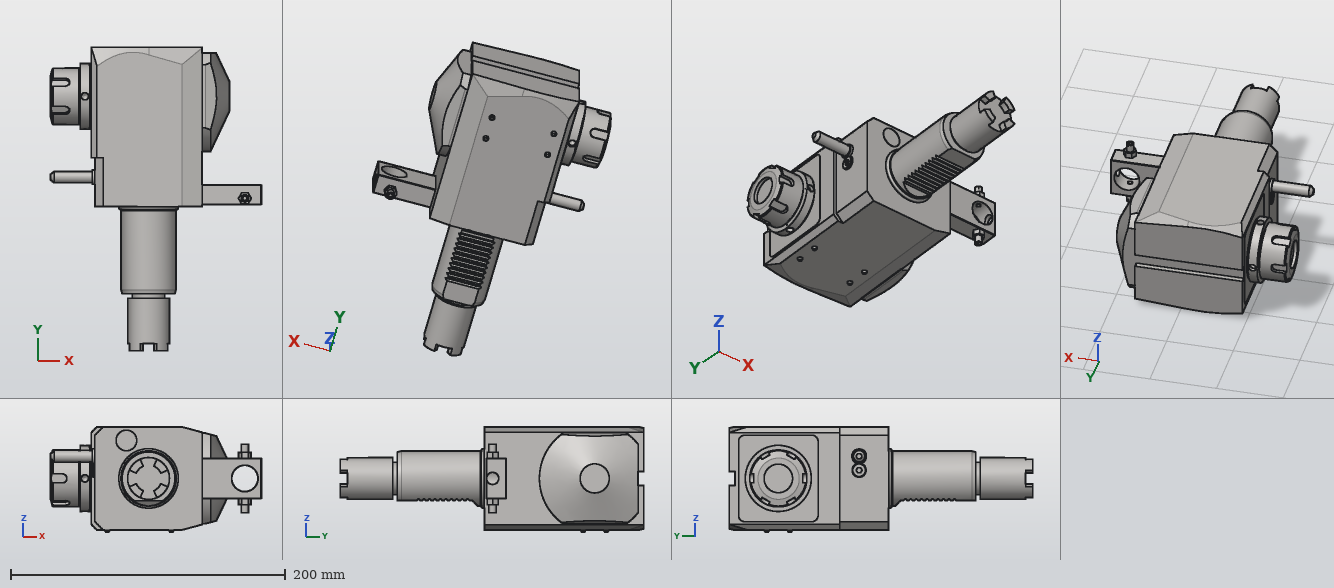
import cadquery as cq
import math


HALF_HEIGHT = 37.5
BACK_Y = 116.0
LEFT_X = -41.7
RIGHT_X = 38.9
STEP_Y = 35.3
STEP_X = -39.0
LEFT_BEVEL = 4.2
STEP_BEVEL = 6.2
SLOPE_START_X = 24.3
SLOPE_ANGLE = 15.0
CROWN_ANGLE = 13.5
CROWN_ARC_LEFT = (-41.7, 33.3)
CROWN_ARC_MID = (-14.4, 36.7)
CROWN_ARC_RIGHT = (0.0, 36.2)
CROWN_RIGHT_Z = 33.5
CROWN_DEPTH = 26.5
REAR_SLOT_WIDTH = 10.0
REAR_SLOT_DEPTH = 4.2
MARK_DEPTH = 0.2
PLUG_X = -16.1
PLUG_Z = 27.5
PLUG_RADIUS = 7.5

SPINDLE_Y = 80.2
PAD_WIDTH = 57.9
PAD_HEIGHT = 63.0
PAD_CORNER = 4.6
NUT_FRONT_X = -71.3
NUT_BACK_X = -50.5
NUT_RADIUS = 20.8
NUT_CONE_RADIUS = 20.0
NUT_FACE_RADIUS = 15.0
NUT_CONE_LENGTH = 1.3
NUT_BEVEL_LENGTH = 0.9
NUT_SLOT_COUNT = 6
NUT_SLOT_WIDTH = 6.6
NUT_SLOT_FLOOR = 17.9
NUT_SLOT_END_X = -57.5
NUT_SHORT_SLOT_END_X = -59.5
BORE_RADIUS = 10.4
BORE_DEPTH = 2.7
NECK_RADIUS = 18.8
RING_FRONT_X = -49.7
RING_BACK_X = -42.8
RING_RADIUS = 24.0
RING_SEAT_RADIUS = 22.5
RING_HOLE_RADIUS = 2.7
RING_HOLE_DEPTH = 3.3
RING_HOLE_POINT = 2.2
RING_HOLE_COUNT = 4

CAP_RADIUS = 40.2
CAP_BASE_END_X = 41.0
CAP_CYLINDER_END_X = 45.0
CAP_TIP_X = 59.0
CAP_TIP_RADIUS = 10.5
CAP_FLAT_Y = 111.8

FLANGE_RADIUS = 21.6
FLANGE_END_Y = -2.2
FLANGE_ROUND = 1.3
RELIEF_RADIUS = 19.7
RELIEF_END_Y = -3.0
SHANK_RADIUS = 20.0
SHANK_BEVEL_Y = -60.3
SHANK_END_Y = -63.4
SHANK_BEVEL = 0.9
DRIVE_NECK_RADIUS = 12.0
DRIVE_START_Y = -66.5
DRIVE_RADIUS = 15.2
DRIVE_FACE_Y = -99.5
TIP_Y = -105.0
DOG_INNER_RADIUS = 9.7
DOG_HALF_ANGLE = 21.5
DOG_COUNT = 4
FLAT_Z = -16.1
FLAT_START_Y = -8.6
FLAT_RAMP_Y = -4.9
TOOTH_PITCH = 4.0
TOOTH_DEPTH = 1.3
TOOTH_COUNT = 10
FIRST_TOOTH_Y = -12.1

PIPE_Y = 21.5
PIPE_Z = 16.1
PIPE_RADIUS = 4.2
PIPE_END_X = -71.3
PIPE_TIP_LENGTH = 2.7
PIPE_TIP_RADIUS = 2.0
PIPE_COLLAR_RADIUS = 5.3
PIPE_COLLAR_END_X = -41.0
SCREW_Z = 6.0
SCREW_RADIUS = 5.0
SCREW_END_X = -40.6
SCREW_BEVEL = 0.5
SCREW_SOCKET = 4.2
SCREW_SOCKET_DEPTH = 1.0

BRACKET_END_X = 82.2
BRACKET_HALF_HEIGHT = 14.8
BRACKET_FRONT_Y = 1.3
BRACKET_BACK_Y = 16.0
BRACKET_EDGE = 0.5
END_HOLE_RADIUS = 4.5
BRACKET_HOLE_X = 70.0
BRACKET_HOLE_RADIUS = 9.5
BOLT_Y = 6.0
BOLT_RADIUS = 2.7
BOLT_HALF_LENGTH = 25.0
BOLT_SOCKET = 3.5
BOLT_SOCKET_DEPTH = 1.8
BOLT_TIP_RADIUS = 1.8
BOLT_TIP_Z = 9.7
BOLT_NUT_SIZE = 9.3
BOLT_NUT_HALF_SPAN = 19.0

STUD_XS = (-30.0, 16.5)
STUD_YS = (71.8, 88.5)
STUD_DROP = 1.5
STUD_BASE_RADIUS = 2.0
STUD_TIP_RADIUS = 1.0

HEX_SIDES = 6

slope = math.tan(math.radians(SLOPE_ANGLE))


def box(x0, x1, y0, y1, z0, z1):
    return cq.Workplane("XY").box(x1 - x0, y1 - y0, z1 - z0, centered=False).translate((x0, y0, z0))


def rod_x(x0, x1, radius, y, z=0.0):
    """Cylinder along X."""
    return cq.Workplane("YZ", origin=(x0, y, z)).circle(radius).extrude(x1 - x0)


def turned_x(profile, y, z=0.0):
    """Solid of revolution about the X-parallel axis at (y, z), from (x, radius) points."""
    return cq.Workplane("XY").polyline(profile).close().revolve(360, (0, 0), (1, 0)).translate((0, y, z))


def prism_y(points, y0, y1):
    """Outline of (x, z) points extruded from y0 to y1."""
    return cq.Workplane("XZ", origin=(0, y1, 0)).polyline(points).close().extrude(y1 - y0)


def section(left_x, bevel, right_x):
    """Housing outline, mirrored about Z = 0."""
    drop = (right_x - SLOPE_START_X) * slope
    upper = [
        (left_x, HALF_HEIGHT - bevel),
        (left_x + bevel, HALF_HEIGHT),
        (SLOPE_START_X, HALF_HEIGHT),
        (right_x, HALF_HEIGHT - drop),
    ]
    return upper + [(x, -z) for x, z in reversed(upper)]


def crowned_envelope():
    """Block whose top and bottom are arched at the rear and lean outward toward the front."""
    mirrored = [(x, -z) for x, z in (CROWN_ARC_LEFT, CROWN_ARC_MID, CROWN_ARC_RIGHT)]
    outline = (
        cq.Workplane("XZ", origin=(0, BACK_Y, 0))
        .moveTo(*CROWN_ARC_LEFT)
        .threePointArc(CROWN_ARC_MID, CROWN_ARC_RIGHT)
        .lineTo(RIGHT_X, CROWN_RIGHT_Z)
        .lineTo(RIGHT_X, -CROWN_RIGHT_Z)
        .lineTo(*mirrored[2])
        .threePointArc(mirrored[1], mirrored[0])
        .close()
    )
    return outline.extrude(CROWN_DEPTH, taper=-CROWN_ANGLE)


def housing():
    rear = prism_y(section(LEFT_X, LEFT_BEVEL, RIGHT_X), BACK_Y - CROWN_DEPTH, BACK_Y)
    rear = rear.intersect(crowned_envelope())
    middle = prism_y(section(LEFT_X, LEFT_BEVEL, RIGHT_X), STEP_Y, BACK_Y - CROWN_DEPTH)
    front = prism_y(section(STEP_X, STEP_BEVEL, RIGHT_X), 0, STEP_Y)
    body = front.union(middle).union(rear)
    half_slot = REAR_SLOT_WIDTH / 2
    body = body.cut(box(LEFT_X, RIGHT_X, BACK_Y - REAR_SLOT_DEPTH, BACK_Y, -half_slot, half_slot))
    pad = (
        cq.Workplane("YZ", origin=(LEFT_X, SPINDLE_Y, 0))
        .rect(PAD_WIDTH, PAD_HEIGHT)
        .extrude(MARK_DEPTH)
        .edges("|X")
        .fillet(PAD_CORNER)
    )
    plug = cq.Workplane("XZ", origin=(PLUG_X, MARK_DEPTH, PLUG_Z)).circle(PLUG_RADIUS).extrude(MARK_DEPTH)
    return body.cut(pad).cut(plug)


def nut_slot(end_x):
    """Wrench slot with a round end, on the +Y side of an axis at Y = 0."""
    half_width = NUT_SLOT_WIDTH / 2
    round_x = end_x - half_width
    straight = box(NUT_FRONT_X, round_x, NUT_SLOT_FLOOR, RING_RADIUS, -half_width, half_width)
    round_end = cq.Workplane("XZ", origin=(round_x, RING_RADIUS, 0)).circle(half_width)
    return straight.union(round_end.extrude(RING_RADIUS - NUT_SLOT_FLOOR))


def spindle():
    nut = turned_x(
        [
            (NUT_FRONT_X, 0),
            (NUT_FRONT_X, NUT_FACE_RADIUS),
            (NUT_FRONT_X + NUT_CONE_LENGTH, NUT_CONE_RADIUS),
            (NUT_FRONT_X + NUT_CONE_LENGTH + NUT_BEVEL_LENGTH, NUT_RADIUS),
            (NUT_BACK_X, NUT_RADIUS),
            (NUT_BACK_X, 0),
        ],
        SPINDLE_Y,
    )
    for i in range(NUT_SLOT_COUNT):
        faces_y = i % (NUT_SLOT_COUNT // 2) == 0
        slot = nut_slot(NUT_SHORT_SLOT_END_X if faces_y else NUT_SLOT_END_X)
        turn = i * 360 / NUT_SLOT_COUNT
        nut = nut.cut(slot.rotate((0, 0, 0), (1, 0, 0), turn).translate((0, SPINDLE_Y, 0)))
    nut = nut.cut(rod_x(NUT_FRONT_X, NUT_FRONT_X + BORE_DEPTH, BORE_RADIUS, SPINDLE_Y))

    ring = rod_x(RING_FRONT_X, RING_BACK_X, RING_RADIUS, SPINDLE_Y)
    floor_z = RING_RADIUS - RING_HOLE_DEPTH
    hole = (
        cq.Workplane("XZ")
        .polyline(
            [
                (0, floor_z - RING_HOLE_POINT),
                (RING_HOLE_RADIUS, floor_z),
                (RING_HOLE_RADIUS, RING_RADIUS),
                (0, RING_RADIUS),
            ]
        )
        .close()
        .revolve(360, (0, 0), (0, 1))
        .translate(((RING_FRONT_X + RING_BACK_X) / 2, 0, 0))
    )
    for i in range(RING_HOLE_COUNT):
        turn = i * 360 / RING_HOLE_COUNT
        ring = ring.cut(hole.rotate((0, 0, 0), (1, 0, 0), turn).translate((0, SPINDLE_Y, 0)))

    neck = rod_x(NUT_BACK_X, RING_FRONT_X, NECK_RADIUS, SPINDLE_Y)
    seat = rod_x(RING_BACK_X, LEFT_X + 2 * MARK_DEPTH, RING_SEAT_RADIUS, SPINDLE_Y)
    return nut.union(neck).union(ring).union(seat)


def cap():
    cone = turned_x(
        [
            (RIGHT_X, 0),
            (RIGHT_X, CAP_RADIUS),
            (CAP_CYLINDER_END_X, CAP_RADIUS),
            (CAP_TIP_X, CAP_TIP_RADIUS),
            (CAP_TIP_X, 0),
        ],
        SPINDLE_Y,
    )
    base_z = HALF_HEIGHT - (CAP_BASE_END_X - SLOPE_START_X) * slope
    base = box(RIGHT_X, CAP_BASE_END_X, 0, CAP_FLAT_Y, -base_z, base_z)
    sloped = prism_y(section(LEFT_X, LEFT_BEVEL, CAP_TIP_X), 0, CAP_FLAT_Y)
    outer = sloped.intersect(box(CAP_BASE_END_X, CAP_TIP_X, 0, CAP_FLAT_Y, -HALF_HEIGHT, HALF_HEIGHT))
    return cone.intersect(base.union(outer))


def across_shank(points):
    """Outline of (y, z) points extruded across the full width of the shank."""
    start = cq.Workplane("YZ", origin=(-SHANK_RADIUS, 0, 0))
    return start.polyline(points).close().extrude(2 * SHANK_RADIUS)


def shank():
    flange = cq.Workplane("XZ").circle(FLANGE_RADIUS).extrude(-FLANGE_END_Y)
    flange = flange.faces("<Y").edges().fillet(FLANGE_ROUND)
    body = (
        cq.Workplane("XY")
        .polyline(
            [
                (0, 0),
                (RELIEF_RADIUS, 0),
                (RELIEF_RADIUS, RELIEF_END_Y),
                (SHANK_RADIUS, RELIEF_END_Y),
                (SHANK_RADIUS, SHANK_BEVEL_Y),
                (SHANK_RADIUS - SHANK_BEVEL, SHANK_END_Y),
                (DRIVE_NECK_RADIUS, SHANK_END_Y),
                (DRIVE_NECK_RADIUS, DRIVE_START_Y),
                (DRIVE_RADIUS, DRIVE_START_Y),
                (DRIVE_RADIUS, TIP_Y),
                (0, TIP_Y),
            ]
        )
        .close()
        .revolve(360, (0, 0), (0, 1))
    )
    below = -2 * SHANK_RADIUS
    flat = [
        (FLAT_RAMP_Y, below),
        (FLAT_RAMP_Y, -SHANK_RADIUS),
        (FLAT_START_Y, FLAT_Z),
        (SHANK_END_Y, FLAT_Z),
        (SHANK_END_Y, below),
    ]
    body = body.cut(across_shank(flat))
    for i in range(TOOTH_COUNT):
        y = FIRST_TOOTH_Y - i * TOOTH_PITCH
        groove = [(y - TOOTH_DEPTH, FLAT_Z), (y, FLAT_Z + TOOTH_DEPTH), (y + TOOTH_DEPTH, FLAT_Z)]
        body = body.cut(across_shank(groove))
    return body.cut(drive_recess()).union(flange)


def drive_recess():
    """Space between the dogs: a round core with one wedge for each gap."""
    half_gap = 180 / DOG_COUNT - DOG_HALF_ANGLE
    reach = 2 * DRIVE_RADIUS
    spread = reach * math.tan(math.radians(half_gap))
    wedge = prism_y([(0, 0), (reach, -spread), (reach, spread)], TIP_Y, DRIVE_FACE_Y)
    core = cq.Workplane("XZ", origin=(0, DRIVE_FACE_Y, 0)).circle(DOG_INNER_RADIUS)
    recess = core.extrude(DRIVE_FACE_Y - TIP_Y)
    for i in range(DOG_COUNT):
        recess = recess.union(wedge.rotate((0, 0, 0), (0, 1, 0), i * 360 / DOG_COUNT))
    return recess


def coolant_pipe():
    collar = rod_x(PIPE_COLLAR_END_X, STEP_X, PIPE_COLLAR_RADIUS, PIPE_Y, PIPE_Z)
    pipe = turned_x(
        [
            (PIPE_END_X, 0),
            (PIPE_END_X, PIPE_TIP_RADIUS),
            (PIPE_END_X + PIPE_TIP_LENGTH, PIPE_RADIUS),
            (STEP_X, PIPE_RADIUS),
            (STEP_X, 0),
        ],
        PIPE_Y,
        PIPE_Z,
    )
    return collar.union(pipe)


def side_screw():
    head = rod_x(SCREW_END_X, STEP_X, SCREW_RADIUS, PIPE_Y, SCREW_Z).faces("<X").chamfer(SCREW_BEVEL)
    socket = cq.Workplane("YZ", origin=(SCREW_END_X, PIPE_Y, SCREW_Z)).polygon(HEX_SIDES, SCREW_SOCKET)
    return head.cut(socket.extrude(SCREW_SOCKET_DEPTH))


def bracket():
    plate = box(RIGHT_X, BRACKET_END_X, BRACKET_FRONT_Y, BRACKET_BACK_Y,
                -BRACKET_HALF_HEIGHT, BRACKET_HALF_HEIGHT)
    plate = plate.faces(">X or >Z or <Z").edges("not <X").chamfer(BRACKET_EDGE)
    hole = (
        cq.Workplane("XZ", origin=(BRACKET_HOLE_X, BRACKET_BACK_Y, 0))
        .circle(BRACKET_HOLE_RADIUS)
        .extrude(BRACKET_BACK_Y)
    )
    bolt_plane = cq.Workplane("XY", origin=(BRACKET_HOLE_X, BOLT_Y, 0))
    bolt = bolt_plane.circle(BOLT_RADIUS).extrude(BOLT_HALF_LENGTH, both=True)
    nuts = bolt_plane.polygon(HEX_SIDES, BOLT_NUT_SIZE).extrude(BOLT_NUT_HALF_SPAN, both=True)
    tip_flats = bolt_plane.circle(BOLT_TIP_RADIUS).extrude(BOLT_TIP_Z, both=True)
    end_hole = rod_x(BRACKET_HOLE_X, BRACKET_END_X, END_HOLE_RADIUS, BOLT_Y)
    body = plate.union(nuts).union(bolt).cut(hole).cut(tip_flats).cut(end_hole)
    for side in (-1, 1):
        socket_plane = bolt_plane.workplane(offset=side * BOLT_HALF_LENGTH)
        body = body.cut(socket_plane.polygon(HEX_SIDES, BOLT_SOCKET).extrude(-side * BOLT_SOCKET_DEPTH))
    return body


def studs():
    stud = (
        cq.Workplane("XZ")
        .polyline(
            [
                (0, -HALF_HEIGHT),
                (STUD_BASE_RADIUS, -HALF_HEIGHT),
                (STUD_TIP_RADIUS, -HALF_HEIGHT - STUD_DROP),
                (0, -HALF_HEIGHT - STUD_DROP),
            ]
        )
        .close()
        .revolve(360, (0, 0), (0, 1))
    )
    group = cq.Workplane("XY")
    for x in STUD_XS:
        for y in STUD_YS:
            group = group.add(stud.translate((x, y, 0)))
    return group


result = housing()
for feature in (spindle(), cap(), shank(), coolant_pipe(), side_screw(), bracket()):
    result = result.union(feature)
for stud in studs().vals():
    result = result.union(stud)